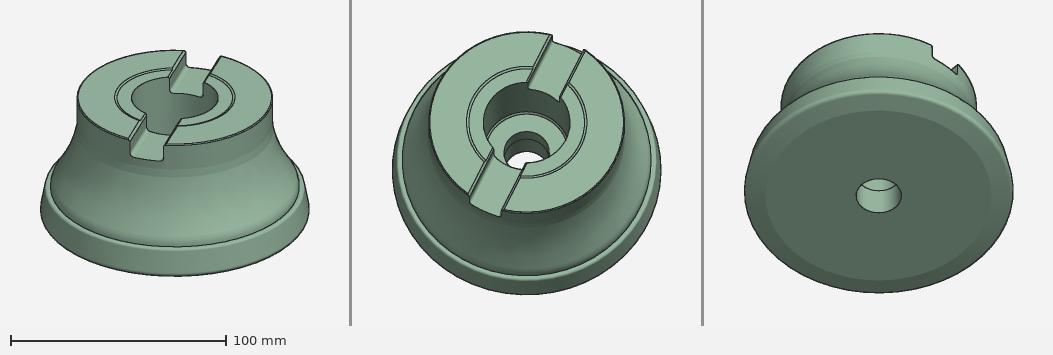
import cadquery as cq
import math

height = 63.0
split_height = 15.5
hole_diameter = 21.0

base_radius = 62.5
base_foot_radius = 52.5
base_underside_angle = math.radians(11)
base_flank_angle = math.radians(10.5)
base_lower_round = 1.9
base_upper_round = 1.2

round_center_radius = base_radius - base_lower_round
round_center_height = (
    (round_center_radius - base_foot_radius) * math.tan(base_underside_angle)
    + base_lower_round / math.cos(base_underside_angle)
)

hub_radius = 45.5
neck_top_radius = 45.8
hub_seat_radius = 57.8
neck_top_height = 45.6
collar_height = 49.6
neck_mid_radius = 50.0
neck_mid_height = 31.8
neck_foot_radius = 56.5
neck_foot_height = 20.0
shoulder_mid_radius = 57.5
shoulder_mid_height = 18.0
hub_top_chamfer = 0.5

bore_radius = 20.1
bore_floor_height = 25.0
bore_floor_chamfer = 0.9
recess_radius = 28.0
recess_floor_radius = 26.9
recess_depth = 0.4

slot_width = 16.2
slot_depth = 9.1
slot_round = 1.9
slot_chamfer = 1.1


def revolve_profile(profile):
    """Close an XZ half profile and turn it about Z."""
    return profile.close().revolve(360, (0, 0, 0), (0, 1, 0))


def on_lower_round(angle):
    """Point of the base's lower rounding at an angle above the horizontal."""
    return (
        round_center_radius + base_lower_round * math.cos(angle),
        round_center_height + base_lower_round * math.sin(angle),
    )


def make_base_ring():
    """Tapered ring with rounded rims and a coned underside."""
    flank_foot = on_lower_round(base_flank_angle)
    flank_rise = split_height - flank_foot[1]
    shoulder_radius = flank_foot[0] - flank_rise * math.tan(base_flank_angle)
    ring = revolve_profile(
        cq.Workplane("XZ")
        .lineTo(base_foot_radius, 0)
        .lineTo(*on_lower_round(base_underside_angle - math.pi / 2))
        .threePointArc(on_lower_round(0), flank_foot)
        .lineTo(shoulder_radius, split_height)
        .lineTo(0, split_height)
    )
    ring = ring.faces(">Z").edges().fillet(base_upper_round)
    hole = cq.Workplane("XY").circle(hole_diameter / 2).extrude(split_height)
    return ring.cut(hole)


def hub_blank():
    """Flared hub, solid, before the bore and slot are cut."""
    return revolve_profile(
        cq.Workplane("XZ")
        .moveTo(0, split_height)
        .lineTo(hub_seat_radius, split_height)
        .threePointArc((shoulder_mid_radius, shoulder_mid_height), (neck_foot_radius, neck_foot_height))
        .threePointArc((neck_mid_radius, neck_mid_height), (neck_top_radius, neck_top_height))
        .lineTo(hub_radius, collar_height)
        .lineTo(hub_radius, height - hub_top_chamfer)
        .lineTo(hub_radius - hub_top_chamfer, height)
        .lineTo(0, height)
    )


def bore_cutter():
    """Through hole, blind bore with a chamfered floor, and the coned top recess."""
    return revolve_profile(
        cq.Workplane("XZ")
        .moveTo(0, split_height)
        .lineTo(hole_diameter / 2, split_height)
        .lineTo(hole_diameter / 2, bore_floor_height)
        .lineTo(bore_radius - bore_floor_chamfer, bore_floor_height)
        .lineTo(bore_radius, bore_floor_height + bore_floor_chamfer)
        .lineTo(bore_radius, height - recess_depth)
        .lineTo(recess_floor_radius, height - recess_depth)
        .lineTo(recess_radius, height)
        .lineTo(0, height)
    )


def slot_cutter():
    """Slot across the hub with rounded floor corners and chamfered top edges."""
    length = 2 * hub_radius + 2.5
    floor = height - slot_depth
    slot = (
        cq.Workplane("XY", origin=(0, 0, floor))
        .rect(slot_width, length)
        .extrude(slot_depth)
        .faces("<Z").edges("|Y").fillet(slot_round)
    )
    half_width = slot_width / 2
    chamfers = (
        cq.Workplane("XZ", origin=(0, length / 2, 0))
        .moveTo(-half_width, height - slot_chamfer)
        .lineTo(half_width, height - slot_chamfer)
        .lineTo(half_width + slot_chamfer, height)
        .lineTo(-half_width - slot_chamfer, height)
        .close()
        .extrude(length)
    )
    return slot.union(chamfers)


def make_hub():
    return hub_blank().cut(bore_cutter()).cut(slot_cutter())


base_ring = make_base_ring()
hub = make_hub()
result = cq.Compound.makeCompound([base_ring.val(), hub.val()])